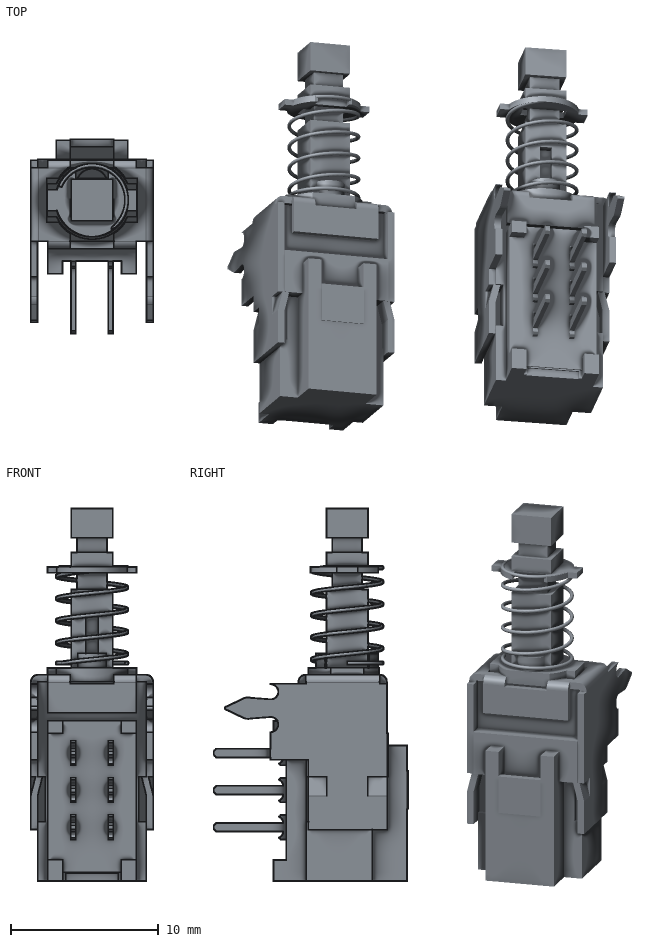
import cadquery as cq


CASE_HALF_X = 3.68
CASE_FRONT_Y = -2.77
CASE_BACK_Y = 1.71
CASE_TOP_Z = 13.48
BLOCK_HALF_X = 3.0
BLOCK_FRONT_Y = -4.13
BLOCK_TOP_Z = 10.84
FOOT_FRONT_Y = -5.0
FOOT_INNER_X = 2.0
UPPER_FOOT_HEIGHT = 0.83
LOWER_FOOT_HEIGHT = 1.44
SILL_RECESS_HEIGHT = 0.6
SILL_RECESS_DEPTH = 0.23
SILL_STEP_DEPTH = 0.1
SILL_STEP_X = 0.2
SILL_STEP_Z = 0.08
REAR_HALF_X = 2.42
REAR_BACK_Y = 4.05
REAR_TOP_Z = 9.17
SHELF_BACK_Y = 2.77
SHELF_TOP_Z = 10.0
LEVER_FRONT_Y = 3.6
LEVER_BACK_Y = 4.13
LEVER_BOTTOM_Z = 4.9
LEVER_TOP_Z = 7.45
EAR_POCKET_DEPTH = 0.53
EAR_POCKET_BOTTOM_Z = 4.0

COVER_WIDTH = 8.3
COVER_HALF_X = COVER_WIDTH / 2
SHEET = COVER_HALF_X - CASE_HALF_X
COVER_TOP_Z = 13.95
COVER_BACK_Y = 2.7
LIP_FRONT_Y = -3.3
BEND_RADIUS = 0.5
TOP_FRONT_Y = LIP_FRONT_Y + BEND_RADIUS
TOP_BACK_Y = COVER_BACK_Y - BEND_RADIUS
LIP_HALF_X = BLOCK_HALF_X
LIP_BOTTOM_Z = 11.4
NOTCH_HALF = 1.49
NOTCH_BOTTOM_Z = 13.35
COVER_HOLE_RADIUS = 2.7
TAB_WINDOW_HALF_X = 3.07
SIDE_BOTTOM_Z = 3.48
SIDE_FRONT_Y = -2.62
WING_FRONT_Y = -5.2
WING_TOP_Z = 13.35
WING_BOTTOM_Z = 8.2
EAR_INNER_Y = 1.39
EAR_BOTTOM_Z = 5.77
EAR_TOP_Z = 7.05
EAR_BEND = 0.33

PRONG_Z = 11.7
PRONG_RELIEF_RADIUS = 0.5
PRONG_RELIEF_Y = -5.17
PRONG_NECK_HALF = 0.6
PRONG_BULGE_START_Y = -6.5
PRONG_BULGE_START_HALF = 0.7
PRONG_BULGE_HALF = 0.73
PRONG_BULGE_END_Y = -7.03
PRONG_BULGE_END_HALF = 0.65
PRONG_TIP_Y = -8.27
PRONG_TIP_RADIUS = 0.13

BOSS_RADIUS = 2.65
BOSS_BACK_Y = 2.17
BOSS_TOP_Z = 14.41
BOSS_TAB_HALF_Y = 1.1
TAB_SPAN = 6.02
TAB_HALF_X = TAB_SPAN / 2
LUG_TOP_Z = 15.4
LUG_INNER_Y = 1.49
LUG_OUTER_Y = 2.12
LUG_WIDTH = 1.95
LUG_HALF_X = LUG_WIDTH / 2
SHAFT_WIDTH = 2.82
NECK_WIDTH = 2.05
SHAFT_TOP_Z = 19.73
COLLAR_TOP_Z = 22.23
CAP_BOTTOM_Z = 23.2
PLUNGER_TOP_Z = 25.2
KEYWAY_WIDTH = 0.83
KEYWAY_DEPTH = 0.6
KEYWAY_TOP_Z = 17.97

WASHER_BOTTOM_Z = 20.85
WASHER_TOP_Z = 21.25
WASHER_RADIUS = 2.5
WASHER_BACK_Y = 2.12
WASHER_TAB_HALF_Y = 0.7
WASHER_NOTCH_HALF_X = 1.1
WASHER_SLOT_FRONT_Y = -1.13
WASHER_SLOT_BACK_Y = 0.08

WIRE_RADIUS = 0.13
COIL_RADIUS = 2.35
COIL_BOTTOM_Z = 14.75
COIL_TOP_Z = 21.2
ACTIVE_TURNS = 4.3
FREE_TURNS = 3.5
COIL_PITCH = (COIL_TOP_Z - COIL_BOTTOM_Z) / ACTIVE_TURNS
BOTTOM_FLAT_ANGLE = 212.0
TOP_FLAT_ANGLE = 197.0
FULL_TURN = 360.0

PIN_HALF_PITCH_X = 1.25
PIN_MIDDLE_Z = 6.15
PIN_ROW_SPAN = 5.01
PIN_PITCH_Z = PIN_ROW_SPAN / 2
PIN_WIDTH = 0.33
PIN_HALF_HEIGHT = 0.3
PIN_TIP_Y = -9.02
PIN_TIP_CHAMFER = 0.18
PIN_ROOT_HALF = 0.83
PIN_ROOT_Y = -4.6
PIN_ROOT_CORNER = 0.13
PIN_CUP_Y = -4.33
PIN_CUP_SAG = 0.05


def box(x0, x1, y0, y1, z0, z1):
    """Block between two opposite corners."""
    return cq.Workplane("XY").box(x1 - x0, y1 - y0, z1 - z0, centered=False).translate((x0, y0, z0))


def centred(half_x, y0, y1, z0, z1):
    """Block that is symmetric about X = 0."""
    return box(-half_x, half_x, y0, y1, z0, z1)


def disc(radius, z0, z1):
    """Upright disc on the plunger axis."""
    return cq.Workplane("XY").workplane(offset=z0).circle(radius).extrude(z1 - z0)


def both_sides(shape):
    """The shape and its mirror image across X = 0."""
    return shape.union(shape.mirror("YZ"))


def make_case():
    case = centred(CASE_HALF_X, CASE_FRONT_Y, CASE_BACK_Y, 0, CASE_TOP_Z)

    pocket_x = CASE_HALF_X - EAR_POCKET_DEPTH
    for y0, y1 in ((CASE_FRONT_Y, -EAR_INNER_Y), (EAR_INNER_Y, CASE_BACK_Y)):
        case = case.cut(both_sides(box(pocket_x, CASE_HALF_X, y0, y1, EAR_POCKET_BOTTOM_Z, EAR_TOP_Z)))

    case = case.union(centred(BLOCK_HALF_X, BLOCK_FRONT_Y, CASE_FRONT_Y, 0, BLOCK_TOP_Z))
    for z0, z1 in ((0, LOWER_FOOT_HEIGHT), (BLOCK_TOP_Z - UPPER_FOOT_HEIGHT, BLOCK_TOP_Z)):
        case = case.union(both_sides(box(FOOT_INNER_X, BLOCK_HALF_X, FOOT_FRONT_Y, BLOCK_FRONT_Y, z0, z1)))

    step_y = BLOCK_FRONT_Y + SILL_STEP_DEPTH
    case = case.cut(centred(FOOT_INNER_X, BLOCK_FRONT_Y, step_y, 0, SILL_RECESS_HEIGHT))
    case = case.cut(centred(FOOT_INNER_X - SILL_STEP_X, step_y, BLOCK_FRONT_Y + SILL_RECESS_DEPTH,
                            0, SILL_RECESS_HEIGHT - SILL_STEP_Z))

    case = case.union(centred(REAR_HALF_X, CASE_BACK_Y, REAR_BACK_Y, 0, REAR_TOP_Z))
    case = case.union(centred(CASE_HALF_X, CASE_BACK_Y, SHELF_BACK_Y, EAR_TOP_Z, SHELF_TOP_Z))
    case = case.cut(centred(NOTCH_HALF, SHELF_BACK_Y, LEVER_FRONT_Y, EAR_TOP_Z, REAR_TOP_Z))
    case = case.cut(centred(NOTCH_HALF, LEVER_FRONT_Y, REAR_BACK_Y, LEVER_TOP_Z, REAR_TOP_Z))
    return case.union(centred(NOTCH_HALF, LEVER_FRONT_Y, LEVER_BACK_Y, LEVER_BOTTOM_Z, LEVER_TOP_Z))


def make_cover_top():
    top = centred(COVER_HALF_X, TOP_FRONT_Y, TOP_BACK_Y, WING_TOP_Z, COVER_TOP_Z)
    top = top.edges("|Y and >Z").fillet(BEND_RADIUS)
    top = top.cut(centred(CASE_HALF_X, TOP_FRONT_Y, TOP_BACK_Y, WING_TOP_Z, CASE_TOP_Z))

    lips = centred(LIP_HALF_X, LIP_FRONT_Y, COVER_BACK_Y, LIP_BOTTOM_Z, COVER_TOP_Z)
    lips = lips.edges("|X and >Z").fillet(BEND_RADIUS)
    lips = lips.cut(centred(LIP_HALF_X, TOP_FRONT_Y, TOP_BACK_Y, LIP_BOTTOM_Z, CASE_TOP_Z))

    top = top.union(lips).cut(disc(COVER_HOLE_RADIUS, NOTCH_BOTTOM_Z, COVER_TOP_Z))
    top = top.cut(centred(TAB_WINDOW_HALF_X, -NOTCH_HALF, NOTCH_HALF, NOTCH_BOTTOM_Z, COVER_TOP_Z))
    return top.cut(centred(NOTCH_HALF, LIP_FRONT_Y, COVER_BACK_Y, NOTCH_BOTTOM_Z, COVER_TOP_Z))


def make_prong(sheet_plane):
    """Pointed solder prong with a rounded bulge behind its tip."""
    bulge_middle_y = (PRONG_BULGE_START_Y + PRONG_BULGE_END_Y) / 2
    upper = (
        sheet_plane
        .moveTo(WING_FRONT_Y + PRONG_RELIEF_RADIUS, PRONG_Z)
        .lineTo(WING_FRONT_Y + PRONG_RELIEF_RADIUS, PRONG_Z + PRONG_NECK_HALF)
        .lineTo(PRONG_RELIEF_Y, PRONG_Z + PRONG_NECK_HALF)
        .lineTo(PRONG_BULGE_START_Y, PRONG_Z + PRONG_BULGE_START_HALF)
        .threePointArc((bulge_middle_y, PRONG_Z + PRONG_BULGE_HALF),
                       (PRONG_BULGE_END_Y, PRONG_Z + PRONG_BULGE_END_HALF))
        .lineTo(PRONG_TIP_Y + PRONG_TIP_RADIUS, PRONG_Z + PRONG_TIP_RADIUS)
        .radiusArc((PRONG_TIP_Y, PRONG_Z), -PRONG_TIP_RADIUS)
        .close()
        .extrude(SHEET)
    )
    return upper.union(upper.mirror("XY", (0, 0, PRONG_Z)))


def make_cover_side():
    sheet_plane = cq.Workplane("YZ").workplane(offset=CASE_HALF_X)
    side = sheet_plane.polyline([
        (COVER_BACK_Y, SIDE_BOTTOM_Z),
        (COVER_BACK_Y, WING_TOP_Z),
        (WING_FRONT_Y, WING_TOP_Z),
        (WING_FRONT_Y, WING_BOTTOM_Z),
        (SIDE_FRONT_Y, WING_BOTTOM_Z),
        (SIDE_FRONT_Y, SIDE_BOTTOM_Z),
    ]).close().extrude(SHEET)

    relief_offset = PRONG_NECK_HALF + PRONG_RELIEF_RADIUS
    reliefs = sheet_plane.pushPoints([
        (PRONG_RELIEF_Y, PRONG_Z - relief_offset),
        (PRONG_RELIEF_Y, PRONG_Z + relief_offset),
    ]).circle(PRONG_RELIEF_RADIUS).extrude(SHEET)
    side = side.cut(reliefs).union(make_prong(sheet_plane))

    for y0, y1 in ((SIDE_FRONT_Y, -EAR_INNER_Y), (EAR_INNER_Y, COVER_BACK_Y)):
        side = side.cut(box(CASE_HALF_X, COVER_HALF_X, y0, y1, EAR_BOTTOM_Z, EAR_TOP_Z))
        ear = cq.Workplane("XZ", origin=(0, y1, 0)).polyline([
            (CASE_HALF_X, EAR_BOTTOM_Z),
            (COVER_HALF_X, EAR_BOTTOM_Z),
            (COVER_HALF_X - EAR_BEND, EAR_TOP_Z),
            (CASE_HALF_X - EAR_BEND, EAR_TOP_Z),
        ]).close().extrude(y1 - y0)
        side = side.union(ear)
    return side


def make_boss():
    boss = disc(BOSS_RADIUS, CASE_TOP_Z, BOSS_TOP_Z)
    boss = boss.union(centred(TAB_HALF_X, -BOSS_TAB_HALF_Y, BOSS_TAB_HALF_Y, CASE_TOP_Z, BOSS_TOP_Z))
    boss = boss.cut(centred(BOSS_RADIUS, BOSS_BACK_Y, BOSS_RADIUS, CASE_TOP_Z, BOSS_TOP_Z))

    lug = (
        cq.Workplane("XY").workplane(offset=BOSS_TOP_Z)
        .moveTo(-LUG_HALF_X, LUG_INNER_Y)
        .threePointArc((0, LUG_OUTER_Y), (LUG_HALF_X, LUG_INNER_Y))
        .close()
        .extrude(LUG_TOP_Z - BOSS_TOP_Z)
    )
    return boss.union(lug).union(lug.mirror("XZ"))


def make_plunger():
    plunger = None
    for width, z0, z1 in (
        (SHAFT_WIDTH, CASE_TOP_Z, SHAFT_TOP_Z),
        (NECK_WIDTH, SHAFT_TOP_Z, WASHER_TOP_Z),
        (SHAFT_WIDTH, WASHER_TOP_Z, COLLAR_TOP_Z),
        (NECK_WIDTH, COLLAR_TOP_Z, CAP_BOTTOM_Z),
        (SHAFT_WIDTH, CAP_BOTTOM_Z, PLUNGER_TOP_Z),
    ):
        section = centred(width / 2, -width / 2, width / 2, z0, z1)
        plunger = section if plunger is None else plunger.union(section)
    front_y = -SHAFT_WIDTH / 2
    keyway = centred(KEYWAY_WIDTH / 2, front_y, front_y + KEYWAY_DEPTH, BOSS_TOP_Z, KEYWAY_TOP_Z)
    return plunger.cut(keyway)


def make_washer():
    span = (WASHER_BOTTOM_Z, WASHER_TOP_Z)
    washer = disc(WASHER_RADIUS, *span)
    washer = washer.union(centred(TAB_HALF_X, -WASHER_TAB_HALF_Y, WASHER_TAB_HALF_Y, *span))
    washer = washer.cut(centred(WASHER_RADIUS, WASHER_BACK_Y, WASHER_RADIUS, *span))
    washer = washer.cut(centred(WASHER_NOTCH_HALF_X, LUG_INNER_Y, WASHER_RADIUS, *span))
    return washer.cut(centred(NOTCH_HALF, WASHER_SLOT_FRONT_Y, WASHER_SLOT_BACK_Y, *span))


def wire_section(z):
    """Round wire section standing at the coil radius."""
    return cq.Workplane("XZ").center(COIL_RADIUS, z).circle(WIRE_RADIUS)


def turned(shape, angle):
    """The shape turned about the plunger axis."""
    return shape.rotate((0, 0, 0), (0, 0, 1), angle)


def make_spring():
    """Wire spring: a flat end turn, an active helix, and another flat end turn."""
    def helix(first_turn, last_turn):
        path = cq.Wire.makeHelix(COIL_PITCH, (last_turn - first_turn) * COIL_PITCH, COIL_RADIUS)
        coil = wire_section(0).sweep(path, isFrenet=True)
        coil = turned(coil, BOTTOM_FLAT_ANGLE + first_turn * FULL_TURN)
        return coil.translate((0, 0, COIL_BOTTOM_Z + first_turn * COIL_PITCH))

    def flat_end(z, start_angle, sweep_angle):
        ring = wire_section(z).revolve(sweep_angle, (-COIL_RADIUS, 0), (-COIL_RADIUS, 1))
        return turned(ring, start_angle)

    spring = flat_end(COIL_BOTTOM_Z, 0, BOTTOM_FLAT_ANGLE).union(helix(0, FREE_TURNS))
    spring = spring.union(helix(FREE_TURNS, ACTIVE_TURNS))
    helix_end_angle = BOTTOM_FLAT_ANGLE + ACTIVE_TURNS * FULL_TURN
    return spring.union(flat_end(COIL_TOP_Z, helix_end_angle, TOP_FLAT_ANGLE))


def make_pin(x, z):
    """Flat pin with a wide root, cupped beside the shank, and a chamfered tip."""
    cup_middle_y = (PIN_ROOT_Y + PIN_CUP_Y) / 2 + PIN_CUP_SAG
    cup_middle_z = (PIN_ROOT_HALF - PIN_ROOT_CORNER + PIN_HALF_HEIGHT) / 2 + PIN_CUP_SAG
    half = (
        cq.Workplane("YZ", origin=(x - PIN_WIDTH / 2, 0, z))
        .moveTo(BLOCK_FRONT_Y, 0)
        .lineTo(BLOCK_FRONT_Y, PIN_ROOT_HALF)
        .lineTo(PIN_ROOT_Y + PIN_ROOT_CORNER, PIN_ROOT_HALF)
        .lineTo(PIN_ROOT_Y, PIN_ROOT_HALF - PIN_ROOT_CORNER)
        .threePointArc((cup_middle_y, cup_middle_z), (PIN_CUP_Y, PIN_HALF_HEIGHT))
        .lineTo(PIN_TIP_Y + PIN_TIP_CHAMFER, PIN_HALF_HEIGHT)
        .lineTo(PIN_TIP_Y, PIN_HALF_HEIGHT - PIN_TIP_CHAMFER)
        .lineTo(PIN_TIP_Y, 0)
        .close()
        .extrude(PIN_WIDTH)
    )
    return half.union(half.mirror("XY", (0, 0, z)))


result = make_case().union(make_cover_top()).union(both_sides(make_cover_side()))
result = result.union(make_boss()).union(make_plunger())
result = result.union(make_washer().union(make_spring()))
for pin_x in (-PIN_HALF_PITCH_X, PIN_HALF_PITCH_X):
    for row in (-1, 0, 1):
        result = result.union(make_pin(pin_x, PIN_MIDDLE_Z + row * PIN_PITCH_Z))